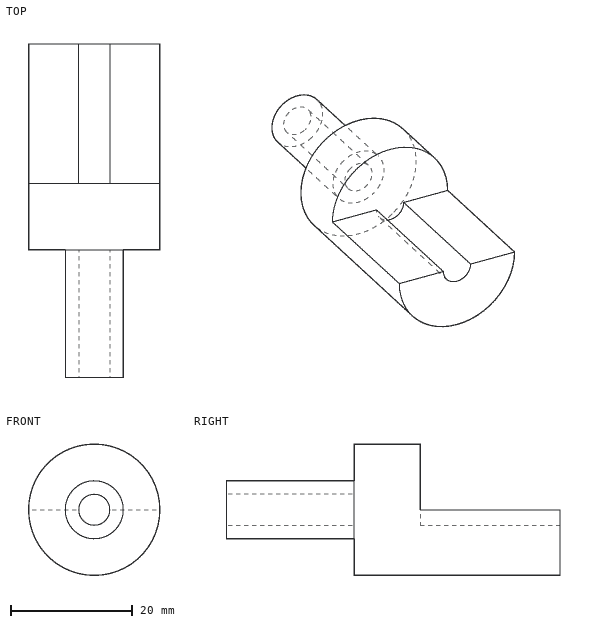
import cadquery as cq

total_length = 54.9
body_diameter = 21.6
stem_diameter = 9.55
bore_diameter = 5.1
stem_length = 21.0
tongue_length = 23.0

body_length = total_length - stem_length
tongue_start = total_length - tongue_length


def rod(diameter, start, length):
    """Round bar on the part's axis, running toward +Y from the given place."""
    plane = cq.Workplane("XZ", origin=(0, start, 0))
    return plane.circle(diameter / 2).extrude(-length)


stem = rod(stem_diameter, 0, stem_length)
body = rod(body_diameter, stem_length, body_length)

upper_half = cq.Workplane("XY", origin=(0, tongue_start, 0)).box(
    body_diameter, tongue_length, body_diameter / 2, centered=(True, False, False)
)

bore = rod(bore_diameter, 0, stem_length)
groove = rod(bore_diameter, tongue_start, tongue_length)

result = stem.union(body).cut(upper_half).cut(bore).cut(groove)